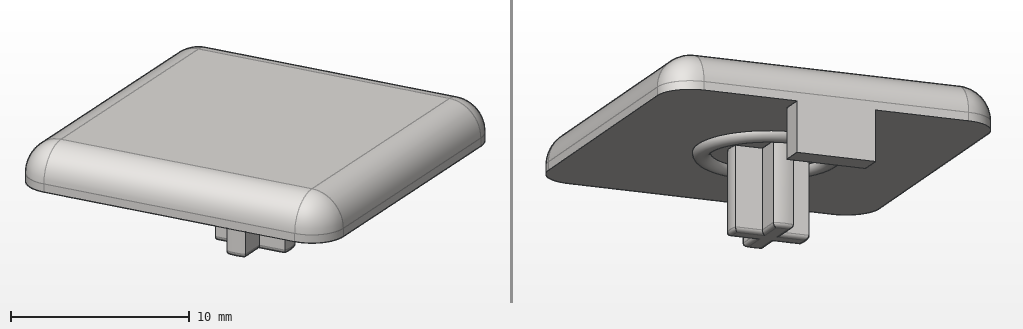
import cadquery as cq

cap_side = 20.0
cap_height = 2.5
cap_radius = 2.0

bead_outer_diameter = 8.5
bead_inner_diameter = 6.5
bead_radius = (bead_outer_diameter - bead_inner_diameter) / 4
bead_center_radius = (bead_outer_diameter + bead_inner_diameter) / 4

post_diameter = 4.6
post_length = 5.0
arm_width = 1.2
post_tip_round = 0.25

tab_width = 4.75
tab_thickness = 1.5
tab_length = 3.0


def make_cap():
    """Square cap with equally rounded corners and top edges."""
    block = cq.Workplane("XY").rect(cap_side, cap_side).extrude(cap_height)
    return block.edges("|Z").fillet(cap_radius).faces(">Z").edges().fillet(cap_radius)


def make_bead():
    """Half-round profile revolved about Z, with its flat side against the cap."""
    return (
        cq.Workplane("XZ")
        .moveTo(bead_inner_diameter / 2, 0)
        .threePointArc((bead_center_radius, -bead_radius), (bead_outer_diameter / 2, 0))
        .close()
        .revolve(360, (0, 0), (0, 1))
    )


def make_post():
    """Cross-shaped post with a rounded tip."""
    arm_along_x = cq.Workplane("XY").rect(post_diameter, arm_width).extrude(-post_length)
    arm_along_y = cq.Workplane("XY").rect(arm_width, post_diameter).extrude(-post_length)
    envelope = cq.Workplane("XY").circle(post_diameter / 2).extrude(-post_length)
    post = arm_along_x.union(arm_along_y).intersect(envelope)
    return post.faces("<Z").edges().fillet(post_tip_round)


def make_tab():
    """Tab hanging from the middle of the +Y side."""
    tab_center_y = (cap_side - tab_thickness) / 2
    return (
        cq.Workplane("XY")
        .center(0, tab_center_y)
        .rect(tab_width, tab_thickness)
        .extrude(-tab_length)
    )


result = make_cap().union(make_bead()).union(make_post()).union(make_tab())